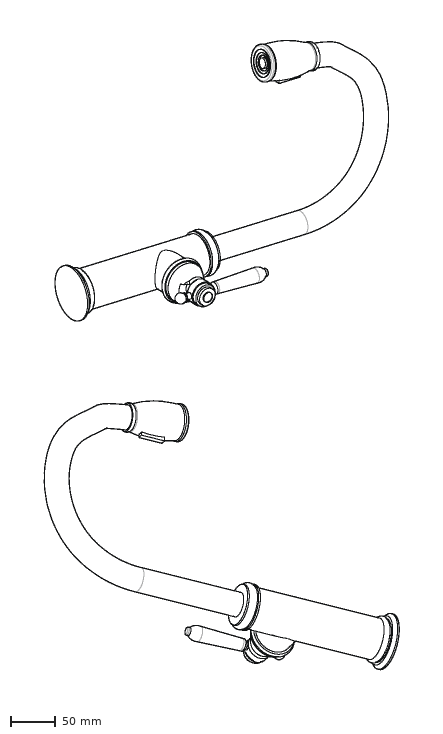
import cadquery as cq
import math


BASE_RADIUS = 32.5
BASE_RIM = 2.0
BASE_TOP_RADIUS = 28.5
BASE_HEIGHT = 6.5
COLUMN_RADIUS = 24.2
FOOT_RING_BOTTOM = 8.2
FOOT_RING_TOP = 15.0
BEAD_RADIUS = 27.3
BEAD_ROOT_RADIUS = 25.5
COLLAR_BOTTOM = 173.5
COLLAR_DISC_RADIUS = 27.0
COLLAR_DISC_TOP = 175.5
COLLAR_BEAD_BOTTOM = 176.5
COLLAR_BEAD_TOP = 186.0
COLLAR_LIP_RADIUS = 24.0
COLUMN_TOP = 188.3

SPOUT_RADIUS = 14.3
BEND_RADIUS = 103.5
BEND_START = 315.0
BEND_BULGE = 2.0
HEAD_TILT = 8.5
BEND_ANGLE = 180 - HEAD_TILT
BEND_POINTS = 8

HEAD_LENGTH = 69.5
NECK_RING_RADIUS = 17.0
NECK_RING_LENGTH = 4.5
NECK_GROOVE_RADIUS = 16.0
NECK_GROOVE_END = 6.0
HEAD_BELLY_RADIUS = 22.0
HEAD_BELLY_PLACE = 36.0
HEAD_MOUTH_RADIUS = 20.8
RIM_START = 64.0
RIM_RADIUS = 21.5
RIM_ROUND = 1.7
FACE_RECESS_RADIUS = 16.0
FACE_RECESS_DEPTH = 1.0
NOZZLE_GROOVE_RADIUS = 12.0
NOZZLE_STEP_RADIUS = 9.0
NOZZLE_RADIUS = 6.0
NOZZLE_STEP_DEPTH = 1.7
NOZZLE_GROOVE_DEPTH = 3.5
BUTTON_WIDTH = 6.5
BUTTON_BACK = 312.5
BUTTON_FRONT = 283.0
BUTTON_UNDERSIDE = 185.5

VALVE_HEIGHT = 121.0
VALVE_RADIUS = 23.0
FLANGE_START = 42.0
FLANGE_END = 47.5
FLANGE_RADIUS = 27.3
FLANGE_ROOT_RADIUS = 25.5
SHOULDER_RADIUS = 24.2
CONE_START = 52.0
CONE_TIP = 70.5
CONE_TIP_RADIUS = 14.5
FLAT_TIP_OFFSET = 8.0
FLAT_EDGE_PLACE = 65.8
FLAT_EDGE_OFFSET = 19.0
STEM_SEAT = 64.5

STEM_RADIUS = 8.2
HUB_START = 72.5
HUB_CHAMFER = 3.5
HUB_RADIUS = 14.5
HUB_END = 86.0
HUB_STEP_RADIUS = 13.5
HUB_STEP_END = 91.5
CAP_RADIUS = 11.0
CAP_END = 95.0
SCREW_RADIUS = 6.0
HANDLE_END = 96.5
LEVER_PLACE = 81.0
LEVER_NECK_RADIUS = 4.8
LEVER_BOTTOM = 137.0
LEVER_FOOT_TOP = 140.2
LEVER_BAND_TOP = 143.0
LEVER_FOOT_RADIUS = 7.5
LEVER_HEAD_BOTTOM = 196.0
LEVER_HEAD_RADIUS = 9.0
LEVER_DOME_TOP = 208.5
LEVER_TIP_RADIUS = 4.8
LEVER_TOP = 212.0
TIP_ROUND = 1.5
TAIL_RADIUS = 4.0
TAIL_COLLAR_RADIUS = 5.0
TAIL_COLLAR_LENGTH = 2.0
BALL_RADIUS = 6.5
BALL_HEIGHT = 94.5


def along_x(start, end, radius):
    """Cylinder on the valve axis between two X positions."""
    plane = cq.Workplane("YZ", origin=(start, VALVE_HEIGHT, 0))
    return plane.circle(radius).extrude(end - start)


def turned_on_y(profile, x=0):
    """Revolve an XY profile about the line through X = x parallel to Y."""
    return profile.close().revolve(360, (x, 0, 0), (x, 1, 0))


def make_column():
    foot_ring_middle = (FOOT_RING_BOTTOM + FOOT_RING_TOP) / 2
    collar_middle = (COLLAR_BEAD_BOTTOM + COLLAR_BEAD_TOP) / 2
    profile = (
        cq.Workplane("XY")
        .moveTo(0, 0)
        .lineTo(BASE_RADIUS, 0)
        .lineTo(BASE_RADIUS, BASE_RIM)
        .lineTo(BASE_TOP_RADIUS, BASE_HEIGHT)
        .lineTo(BEAD_ROOT_RADIUS, BASE_HEIGHT)
        .lineTo(BEAD_ROOT_RADIUS, FOOT_RING_BOTTOM)
        .threePointArc((BEAD_RADIUS, foot_ring_middle), (COLUMN_RADIUS, FOOT_RING_TOP))
        .lineTo(COLUMN_RADIUS, COLLAR_BOTTOM)
        .lineTo(COLLAR_DISC_RADIUS, COLLAR_BOTTOM)
        .lineTo(COLLAR_DISC_RADIUS, COLLAR_DISC_TOP)
        .lineTo(BEAD_ROOT_RADIUS, COLLAR_BEAD_BOTTOM)
        .threePointArc((BEAD_RADIUS, collar_middle), (COLLAR_LIP_RADIUS, COLLAR_BEAD_TOP))
        .lineTo(COLLAR_LIP_RADIUS, COLUMN_TOP)
        .lineTo(0, COLUMN_TOP)
    )
    return turned_on_y(profile)


def make_valve_housing():
    """Branch with a flange and a conical nose, opened on one side around the handle stem."""
    branch = along_x(0, FLANGE_START, VALVE_RADIUS)
    flange_middle = (FLANGE_START + FLANGE_END) / 2
    flange = (
        cq.Workplane("XY", origin=(0, VALVE_HEIGHT, 0))
        .moveTo(FLANGE_START, 0)
        .lineTo(FLANGE_START, FLANGE_ROOT_RADIUS)
        .threePointArc((flange_middle, FLANGE_RADIUS), (FLANGE_END, FLANGE_ROOT_RADIUS))
        .lineTo(FLANGE_END, 0)
        .close()
        .revolve(360, (0, 0, 0), (1, 0, 0))
    )
    shoulder = along_x(FLANGE_END, CONE_START, SHOULDER_RADIUS)
    nose = (
        cq.Workplane("YZ", origin=(CONE_START, VALVE_HEIGHT, 0))
        .circle(SHOULDER_RADIUS)
        .workplane(offset=CONE_TIP - CONE_START)
        .circle(CONE_TIP_RADIUS)
        .loft()
    )
    flat = (
        cq.Workplane("XY", origin=(0, VALVE_HEIGHT, 0))
        .moveTo(CONE_TIP, -FLAT_TIP_OFFSET)
        .lineTo(FLAT_EDGE_PLACE, -FLAT_EDGE_OFFSET)
        .lineTo(FLAT_EDGE_PLACE, -SHOULDER_RADIUS)
        .lineTo(CONE_TIP, -SHOULDER_RADIUS)
        .close()
        .extrude(SHOULDER_RADIUS, both=True)
    )
    seat = along_x(STEM_SEAT, CONE_TIP, STEM_RADIUS)
    slot = cq.Workplane("XY").box(
        CONE_TIP - STEM_SEAT, SHOULDER_RADIUS, 2 * STEM_RADIUS, centered=(False, False, True)
    ).translate((STEM_SEAT, VALVE_HEIGHT - SHOULDER_RADIUS, 0))
    nose = nose.cut(flat).cut(seat).cut(slot)
    return branch.union(flange).union(shoulder).union(nose)


def bend_point(angle):
    """Point of the bend at an angle in degrees from the bend's lowest point."""
    turn = math.radians(angle)
    swell = math.sin(2 * math.pi * angle / BEND_ANGLE) ** 2
    reach = BEND_RADIUS + BEND_BULGE * swell
    return (BEND_START + reach * math.sin(turn), BEND_RADIUS - reach * math.cos(turn))


def make_spout():
    """Straight pipe out of the collar and a bend that is slightly fuller on its diagonals."""
    bend = [bend_point(BEND_ANGLE * i / BEND_POINTS) for i in range(1, BEND_POINTS + 1)]
    tilt = math.radians(HEAD_TILT)
    tangents = [(1, 0), (-math.cos(tilt), math.sin(tilt))]
    straight = (
        cq.Workplane("XZ", origin=(0, COLUMN_TOP, 0))
        .circle(SPOUT_RADIUS)
        .extrude(COLUMN_TOP - BEND_START)
    )
    path = (
        cq.Workplane("YZ")
        .moveTo(BEND_START, 0)
        .spline(bend, tangents=tangents, includeCurrent=True)
    )
    curved = cq.Workplane("XZ", origin=(0, BEND_START, 0)).circle(SPOUT_RADIUS).sweep(path)
    return straight.union(curved)


def make_faucet_body():
    return make_column().union(make_valve_housing()).union(make_spout())


def make_spray_head():
    """Turned about Y from the origin, then placed on the end of the spout."""
    ring_middle = NECK_RING_LENGTH / 2
    profile = (
        cq.Workplane("XY")
        .moveTo(0, 0)
        .lineTo(NECK_GROOVE_RADIUS, 0)
        .threePointArc((NECK_RING_RADIUS, ring_middle), (NECK_GROOVE_RADIUS, NECK_RING_LENGTH))
        .lineTo(NECK_GROOVE_RADIUS, NECK_GROOVE_END)
        .spline(
            [(HEAD_BELLY_RADIUS, HEAD_BELLY_PLACE), (HEAD_MOUTH_RADIUS, RIM_START)],
            includeCurrent=True,
        )
        .lineTo(RIM_RADIUS, RIM_START + RIM_ROUND)
        .lineTo(RIM_RADIUS, HEAD_LENGTH - RIM_ROUND)
        .radiusArc((RIM_RADIUS - RIM_ROUND, HEAD_LENGTH), -RIM_ROUND)
        .lineTo(FACE_RECESS_RADIUS, HEAD_LENGTH)
        .lineTo(FACE_RECESS_RADIUS, HEAD_LENGTH - FACE_RECESS_DEPTH)
        .lineTo(NOZZLE_GROOVE_RADIUS, HEAD_LENGTH - FACE_RECESS_DEPTH)
        .lineTo(NOZZLE_GROOVE_RADIUS, HEAD_LENGTH - NOZZLE_STEP_DEPTH)
        .lineTo(NOZZLE_STEP_RADIUS, HEAD_LENGTH - NOZZLE_STEP_DEPTH)
        .lineTo(NOZZLE_STEP_RADIUS, HEAD_LENGTH - NOZZLE_GROOVE_DEPTH)
        .lineTo(NOZZLE_RADIUS, HEAD_LENGTH - NOZZLE_GROOVE_DEPTH)
        .lineTo(NOZZLE_RADIUS, HEAD_LENGTH - FACE_RECESS_DEPTH)
        .lineTo(0, HEAD_LENGTH - FACE_RECESS_DEPTH)
    )
    end_y, end_z = bend_point(BEND_ANGLE)
    head = (
        turned_on_y(profile)
        .rotate((0, 0, 0), (1, 0, 0), BEND_ANGLE)
        .translate((0, end_y, end_z))
    )
    button = cq.Workplane("XY").box(
        BUTTON_WIDTH, BUTTON_BACK - BUTTON_FRONT, end_z - BUTTON_UNDERSIDE, centered=(True, False, False)
    ).translate((0, BUTTON_FRONT, BUTTON_UNDERSIDE))
    return head.union(button)


def make_hub():
    stem = along_x(STEM_SEAT, HUB_START, STEM_RADIUS)
    drum = along_x(HUB_START, HUB_END, HUB_RADIUS).faces("<X").chamfer(HUB_CHAMFER)
    step = along_x(HUB_END, HUB_STEP_END, HUB_STEP_RADIUS)
    cap = along_x(HUB_STEP_END, CAP_END, CAP_RADIUS)
    screw = along_x(CAP_END, HANDLE_END, SCREW_RADIUS)
    return stem.union(drum).union(step).union(cap).union(screw)


def make_lever():
    """Tapered grip with a domed end and a small knob."""
    dome_height = LEVER_DOME_TOP - LEVER_HEAD_BOTTOM
    dome_middle = (
        LEVER_PLACE + LEVER_TIP_RADIUS + 0.75 * (LEVER_HEAD_RADIUS - LEVER_TIP_RADIUS),
        LEVER_HEAD_BOTTOM + 0.65 * dome_height,
    )
    profile = (
        cq.Workplane("XY")
        .moveTo(LEVER_PLACE, VALVE_HEIGHT)
        .lineTo(LEVER_PLACE + LEVER_NECK_RADIUS, VALVE_HEIGHT)
        .lineTo(LEVER_PLACE + LEVER_NECK_RADIUS, LEVER_BOTTOM)
        .lineTo(LEVER_PLACE + LEVER_FOOT_RADIUS, LEVER_FOOT_TOP)
        .lineTo(LEVER_PLACE + LEVER_FOOT_RADIUS, LEVER_BAND_TOP)
        .lineTo(LEVER_PLACE + LEVER_HEAD_RADIUS, LEVER_HEAD_BOTTOM)
        .threePointArc(dome_middle, (LEVER_PLACE + LEVER_TIP_RADIUS, LEVER_DOME_TOP))
        .lineTo(LEVER_PLACE + LEVER_TIP_RADIUS, LEVER_TOP - TIP_ROUND)
        .radiusArc((LEVER_PLACE + LEVER_TIP_RADIUS - TIP_ROUND, LEVER_TOP), -TIP_ROUND)
        .lineTo(LEVER_PLACE, LEVER_TOP)
    )
    return turned_on_y(profile, LEVER_PLACE)


def make_tail():
    """Short rod with a collar and a ball, opposite the lever."""
    collar_bottom = BALL_HEIGHT + math.sqrt(BALL_RADIUS**2 - TAIL_COLLAR_RADIUS**2)
    ball_level = cq.Workplane("XZ", origin=(LEVER_PLACE, BALL_HEIGHT, 0))
    collar_level = cq.Workplane("XZ", origin=(LEVER_PLACE, collar_bottom, 0))
    rod = ball_level.circle(TAIL_RADIUS).extrude(BALL_HEIGHT - VALVE_HEIGHT)
    collar = collar_level.circle(TAIL_COLLAR_RADIUS).extrude(-TAIL_COLLAR_LENGTH)
    ball = cq.Workplane("XY", origin=(LEVER_PLACE, BALL_HEIGHT, 0)).sphere(BALL_RADIUS)
    return rod.union(collar).union(ball)


def make_handle():
    return make_hub().union(make_lever()).union(make_tail())


faucet_body = make_faucet_body()
spray_head = make_spray_head()
handle = make_handle()

result = cq.Compound.makeCompound([faucet_body.val(), spray_head.val(), handle.val()])